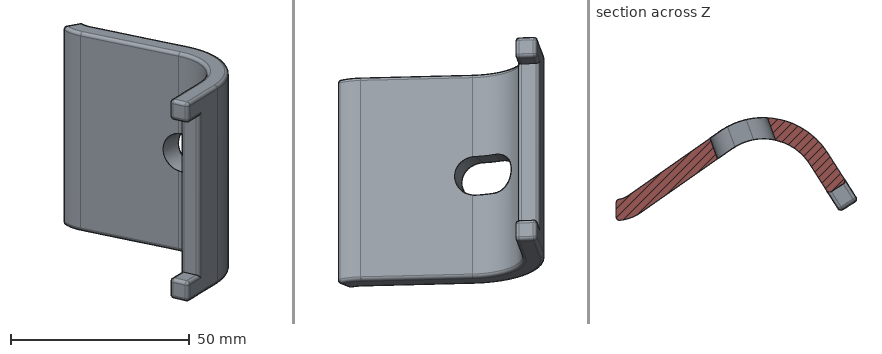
import cadquery as cq
import math

height = 60.0
thickness = 6.0
edge_round = 1.0

lip_inner_radius = 6.0
long_leg_slope = 35.0
long_leg_length = 31.33
crown_inner_radius = 15.3
short_leg_slope = 57.5
short_leg_length = 15.75

tab_width = 6.0
notch_depth = 6.0

slot_width = 11.4
slot_centre_distance = 5.6
slot_tilt = 20.0
slot_offset = 3.7

lip_outer_radius = lip_inner_radius + thickness
crown_outer_radius = crown_inner_radius + thickness


def heading(angle):
    """Unit vector in the XY plane at an angle in degrees from +X."""
    return cq.Vector(math.cos(math.radians(angle)), math.sin(math.radians(angle)), 0)


along_long_leg = heading(long_leg_slope)
across_long_leg = heading(long_leg_slope + 90)
along_short_leg = heading(-short_leg_slope)
across_short_leg = heading(90 - short_leg_slope)

lip_centre = cq.Vector(0, lip_outer_radius, 0)
long_leg_start = lip_centre - across_long_leg * lip_outer_radius
crown_start = long_leg_start + along_long_leg * long_leg_length
crown_centre = crown_start - across_long_leg * crown_inner_radius
crown_end = crown_centre + across_short_leg * crown_inner_radius
free_end = crown_end + along_short_leg * short_leg_length


def make_strip():
    """Extrude the lip, long leg, crown and short leg as one strip of constant thickness."""
    lip_middle = heading(long_leg_slope / 2 - 90)
    crown_middle = heading(90 + (long_leg_slope - short_leg_slope) / 2)
    upper_long_leg_start = long_leg_start + across_long_leg * thickness
    upper_crown_end = crown_end + across_short_leg * thickness
    return (
        cq.Workplane("XY")
        .moveTo(0, 0)
        .threePointArc(lip_centre + lip_middle * lip_outer_radius, long_leg_start)
        .lineTo(crown_start.x, crown_start.y)
        .threePointArc(crown_centre + crown_middle * crown_inner_radius, crown_end)
        .lineTo(free_end.x, free_end.y)
        .line(across_short_leg.x * thickness, across_short_leg.y * thickness)
        .lineTo(upper_crown_end.x, upper_crown_end.y)
        .threePointArc(
            crown_centre + crown_middle * crown_outer_radius,
            crown_centre + across_long_leg * crown_outer_radius,
        )
        .lineTo(upper_long_leg_start.x, upper_long_leg_start.y)
        .threePointArc(lip_centre + lip_middle * lip_inner_radius, (0, thickness))
        .close()
        .extrude(height)
    )


def cut_notch(body):
    """Remove the middle of the free end, leaving a tab at the top and at the bottom."""
    end_middle = free_end + across_short_leg * (thickness / 2) + cq.Vector(0, 0, height / 2)
    end_plane = cq.Plane(origin=end_middle, xDir=across_short_leg, normal=along_short_leg)
    notch = (
        cq.Workplane(end_plane)
        .rect(2 * thickness, height - 2 * tab_width)
        .extrude(notch_depth, both=True)
    )
    return body.cut(notch)


def round_edges(body):
    """Round every outside edge; smooth bend lines and the notch corners stay as they are."""
    lip_end_edges = body.faces("<X").edges("|Z")
    flat_outlines = body.faces("<Z or >Z").edges()
    along_leg_edges = body.edges(cq.selectors.ParallelDirSelector(along_short_leg))
    end_faces = body.faces(cq.selectors.DirectionMinMaxSelector(along_short_leg))
    notch_floor = body.faces(cq.selectors.DirectionNthSelector(along_short_leg, -2))
    edges = (
        lip_end_edges.add(flat_outlines)
        .add(end_faces.edges())
        .add(notch_floor.edges("|Z"))
        .add(along_leg_edges)
    )
    return body.newObject(edges.vals()).fillet(edge_round)


def cut_slot(body):
    """Cut the slotted hole through the crown; it runs past both faces of the strip."""
    axis = heading(90 + slot_tilt)
    across = heading(slot_tilt)
    centre = crown_start + across * slot_offset + cq.Vector(0, 0, height / 2)
    slot = (
        cq.Workplane(cq.Plane(origin=centre, xDir=across, normal=axis))
        .slot2D(slot_centre_distance + slot_width, slot_width)
        .extrude(crown_outer_radius, both=True)
    )
    return body.cut(slot)


strip = make_strip()
notched = cut_notch(strip)
rounded = round_edges(notched)
result = cut_slot(rounded)